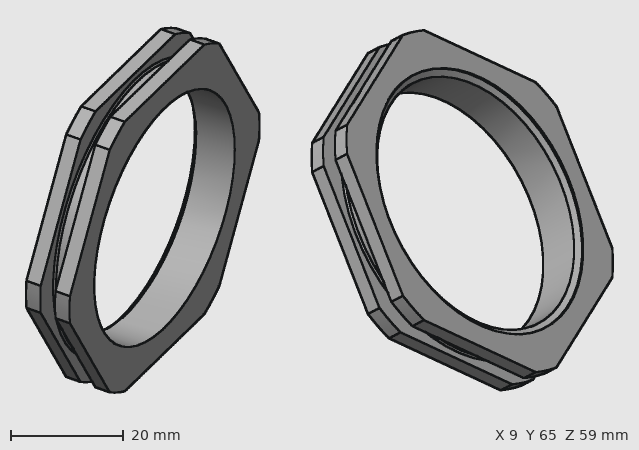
import cadquery as cq
import math

corner_diameter = 65.0
across_flats = 59.0
thickness = 9.0
flange_thickness = 3.0
groove_diameter = 55.5
groove_chamfer = 0.4
bore_diameter = 48.0
bore_chamfer_width = 1.25
bore_chamfer_angle = 60
mouth_depth = 0.3

groove_radius = groove_diameter / 2
bore_radius = bore_diameter / 2
half_thickness = thickness / 2
groove_half_width = half_thickness - flange_thickness


def hexagonal_blank():
    """Hexagonal plate centred on X, flats up and down, with rounded corners."""
    across_corners = across_flats / math.cos(math.pi / 6)
    hexagon = cq.Workplane("YZ").polygon(6, across_corners).extrude(half_thickness, both=True)
    corner_round = cq.Workplane("YZ").circle(corner_diameter / 2).extrude(half_thickness, both=True)
    return hexagon.intersect(corner_round)


def revolve_about_x(points):
    """Turn a closed (x, radius) outline about the X axis."""
    return cq.Workplane("XY").polyline(points).close().revolve(360, (0, 0, 0), (1, 0, 0))


def groove_cutter():
    """Ring outside the groove floor, with bevelled bottom corners."""
    floor_half_width = groove_half_width - groove_chamfer
    bevel_radius = groove_radius + groove_chamfer
    return revolve_about_x([
        (-groove_half_width, corner_diameter),
        (-groove_half_width, bevel_radius),
        (-floor_half_width, groove_radius),
        (floor_half_width, groove_radius),
        (groove_half_width, bevel_radius),
        (groove_half_width, corner_diameter),
    ])


def bore_cutter():
    """Through bore with a shallow mouth and chamfer at the -X end only."""
    mouth_radius = bore_radius + bore_chamfer_width
    chamfer_depth = bore_chamfer_width / math.tan(math.radians(bore_chamfer_angle))
    chamfer_start = -half_thickness + mouth_depth
    return revolve_about_x([
        (-half_thickness, 0),
        (-half_thickness, mouth_radius),
        (chamfer_start, mouth_radius),
        (chamfer_start + chamfer_depth, bore_radius),
        (half_thickness, bore_radius),
        (half_thickness, 0),
    ])


result = hexagonal_blank().cut(groove_cutter()).cut(bore_cutter())